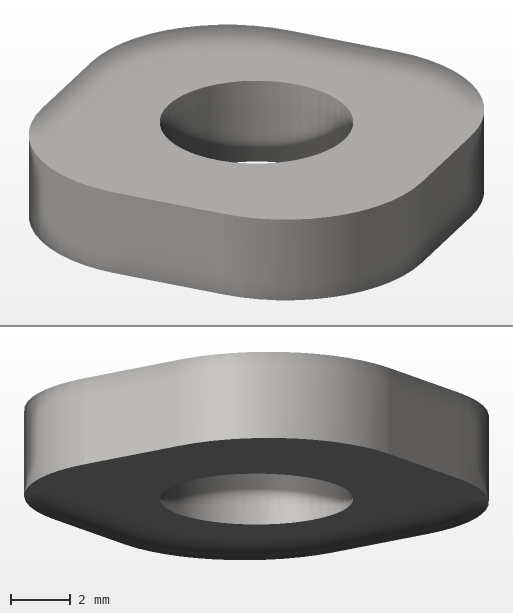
import cadquery as cq

side = 14.0
thickness = 3.0
corner_radius = 5.0
bore_diameter = 6.5

plate = (
    cq.Workplane("XY")
    .rect(side, side)
    .extrude(thickness)
    .edges("|Z")
    .fillet(corner_radius)
)

result = plate.faces(">Z").workplane().hole(bore_diameter)